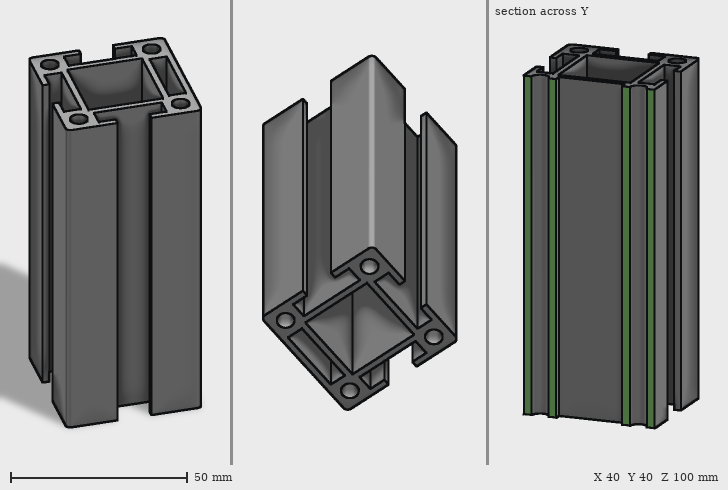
import cadquery as cq

side = 40.0
length = 100.0
corner_radius = 1.5

wall = 2.0
slot_depth = 5.0
slot_width = 20.0
slot_mouth = 10.0
hole_diameter = 5.0
hole_inset = 5.0

half_side = side / 2
core_opening = side - 2 * (wall + slot_depth + wall)
slot_center = half_side - wall - slot_depth / 2
lip_center = half_side - wall / 2
hole_spacing = side - 2 * hole_inset

FRONT, RIGHT, BACK, LEFT = 0, 90, 180, 270


def outer_bar():
    """Square bar with rounded long edges."""
    return cq.Workplane("XY").rect(side, side).extrude(length).edges("|Z").fillet(corner_radius)


def core_cutter():
    """Square central passage."""
    return cq.Workplane("XY").rect(core_opening, core_opening).extrude(length)


def corner_hole_cutter():
    """Four round passages, one in each corner block."""
    return (
        cq.Workplane("XY")
        .rect(hole_spacing, hole_spacing, forConstruction=True)
        .vertices()
        .circle(hole_diameter / 2)
        .extrude(length)
    )


def slot_cutter(face_angle, is_open):
    """Rectangular channel behind one face; an open one also breaks through between its lips."""
    cutter = cq.Workplane("XY").center(0, -slot_center).rect(slot_width, slot_depth).extrude(length)
    if is_open:
        mouth = cq.Workplane("XY").center(0, -lip_center).rect(slot_mouth, wall).extrude(length)
        cutter = cutter.union(mouth)
    return cutter.rotate((0, 0, 0), (0, 0, 1), face_angle)


result = outer_bar().cut(core_cutter()).cut(corner_hole_cutter())
for angle in (FRONT, RIGHT, LEFT):
    result = result.cut(slot_cutter(angle, is_open=True))

result = result.cut(slot_cutter(BACK, is_open=False))